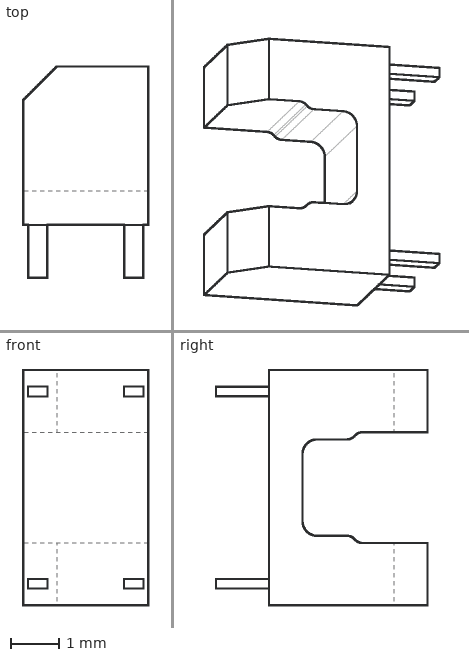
import cadquery as cq

body_width = 2.6
body_depth = 3.3
body_height = 4.9
corner_chamfer = 0.7

mouth_height = 2.3
throat_height = 2.0
slot_floor_y = 0.7
floor_radius = 0.3
step_y = 1.785
step_radius = 0.2

pin_width = 0.4
pin_thickness = 0.2
pin_length = 1.102
pin_pitch_x = 2.0
pin_pitch_z = 4.0


def make_body():
    """Block with one vertical edge cut off at 45 degrees."""
    block = cq.Workplane("XY").box(body_width, body_depth, body_height).translate((0, body_depth / 2, 0))
    return block.edges("|Z and <X and >Y").chamfer(corner_chamfer)


def make_slot():
    """Slot with rounded floor corners that widens over a 45 degree step."""
    throat = throat_height / 2
    mouth = mouth_height / 2
    half_step = (mouth - throat) / 2
    step_start = step_y - half_step
    step_end = step_y + half_step
    profile = [
        (slot_floor_y, -throat),
        (step_start, -throat),
        (step_end, -mouth),
        (body_depth, -mouth),
        (body_depth, mouth),
        (step_end, mouth),
        (step_start, throat),
        (slot_floor_y, throat),
    ]
    slot = cq.Workplane("YZ").polyline(profile).close().extrude(body_width / 2, both=True)
    slot = slot.edges("|X and <Y").fillet(floor_radius)

    step_zone = cq.selectors.BoxSelector(
        (-body_width, step_start - half_step, -body_height),
        (body_width, step_end + half_step, body_height),
    )
    return slot.edges("|X").edges(step_zone).fillet(step_radius)


def make_pins():
    """Four rectangular pins standing out from the Y = 0 face."""
    return (
        cq.Workplane("XZ")
        .rarray(pin_pitch_x, pin_pitch_z, 2, 2)
        .rect(pin_width, pin_thickness)
        .extrude(pin_length)
    )


result = make_body().cut(make_slot()).union(make_pins())